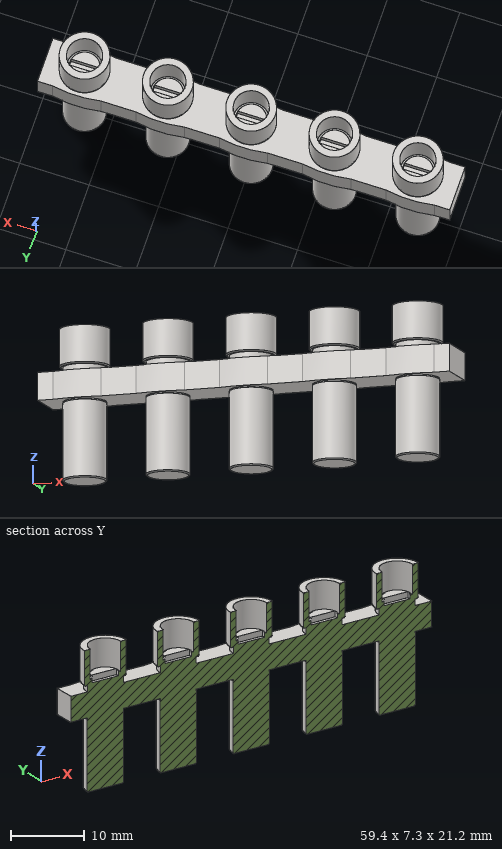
import cadquery as cq

bar_length = 59.4
bar_width = 6.65
bar_height = 3.9
bulge_width = 7.3

terminal_count = 5
pitch = 12.0

stud_diameter = 6.05
stud_length = 11.05
end_chamfer = 0.2
neck_diameter = 6.0
neck_height = 0.9
neck_drop = 0.2
head_diameter = 6.95
head_height = 5.35
bore_diameter = 4.95

bore_depth = 4.15
screw_chamfer = 0.35
slot_width = 0.9
slot_depth = 0.9

head_bottom = bar_height + neck_height
head_top = head_bottom + head_height
screw_top = head_top - bore_depth
terminal_xs = [(i - (terminal_count - 1) / 2) * pitch for i in range(terminal_count)]


def disc(x, diameter, bottom, height):
    """Upright cylinder centred on one terminal."""
    return cq.Workplane("XY", origin=(x, 0, bottom)).circle(diameter / 2).extrude(height)


def make_bar():
    """Rectangular bar whose long sides bow out gently beside each terminal."""
    half_length = bar_length / 2
    half_width = bar_width / 2
    half_bulge = head_diameter / 2
    outline = cq.Workplane("XY").moveTo(-half_length, -half_width)
    for side, xs in ((-1, terminal_xs), (1, terminal_xs[::-1])):
        y = side * half_width
        crest = side * bulge_width / 2
        for x in xs:
            outline = outline.lineTo(x + side * half_bulge, y)
            outline = outline.threePointArc((x, crest), (x - side * half_bulge, y))
        outline = outline.lineTo(-side * half_length, y)
        if side == -1:
            outline = outline.lineTo(half_length, half_width)
    return outline.close().extrude(bar_height)


def make_terminal(x):
    """Stud under the bar, and a wider sleeve above it, joined by a neck through the bar."""
    stud = disc(x, stud_diameter, -stud_length, stud_length - neck_drop)
    stud = stud.faces("<Z").chamfer(end_chamfer)
    neck = disc(x, neck_diameter, -neck_drop, neck_drop + head_bottom)
    head = disc(x, head_diameter, head_bottom, head_height)
    head = head.faces("<Z").chamfer(end_chamfer)
    return stud.union(neck).union(head)


def make_bore(x):
    """Blind bore that leaves a chamfered screw face with a slot along X at its bottom."""
    slope_bottom = screw_top - screw_chamfer
    face_diameter = bore_diameter - 2 * screw_chamfer
    screw_tip = cq.Solid.makeCone(
        bore_diameter / 2,
        face_diameter / 2,
        screw_chamfer,
        pnt=cq.Vector(x, 0, slope_bottom),
    )
    bore = disc(x, bore_diameter, slope_bottom, bore_depth + screw_chamfer).cut(cq.Workplane(screw_tip))
    slot = cq.Workplane("XY", origin=(x, 0, screw_top)).rect(face_diameter, slot_width).extrude(-slot_depth)
    return bore.union(slot)


result = make_bar()
for terminal_x in terminal_xs:
    result = result.union(make_terminal(terminal_x))
for terminal_x in terminal_xs:
    result = result.cut(make_bore(terminal_x))